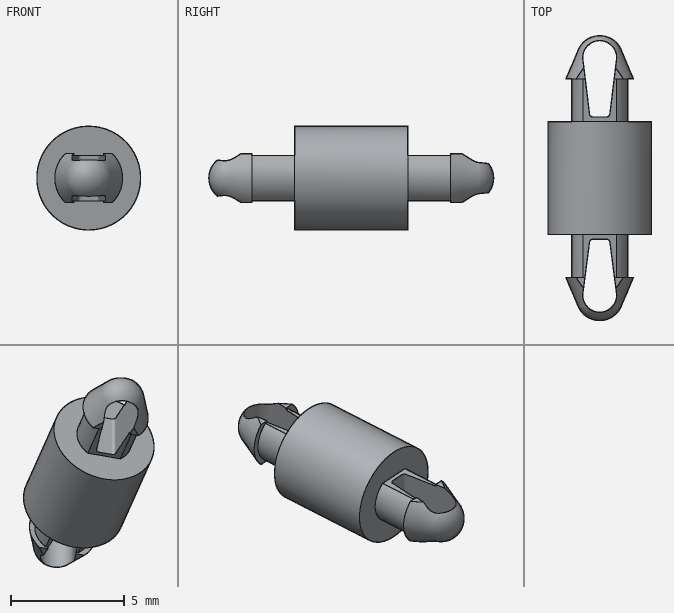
import cadquery as cq
import math

body_diameter = 4.6
overall_length = 12.6
body_length = 5.0
body_end = body_length / 2
tip = overall_length / 2

stem_diameter = 2.5
stem_height = 2.0

barb_radius = 1.5
barb_distance = 1.89
head_height = 2.17
dome_edge_radius = 0.93
dome_height = 0.58
stem_overlap = 0.13

slot_start_gap = 0.2
slot_start_half_width = 0.43
slot_corner_radius = 0.15
slot_round_radius = 0.74
rear_tip_wall = 0.23
front_tip_wall = 0.38


def flattened(solid, height):
    """Keep the part of a round solid between two flats parallel to XY."""
    return solid.intersect(cq.Workplane("XY").box(body_diameter, 2 * overall_length, height))


def make_stem():
    """Flattened round bar from inside the body into the head at +Y."""
    stem_end = body_end + barb_distance + stem_overlap
    stem = cq.Workplane("XZ").circle(stem_diameter / 2).extrude(-stem_end)
    return flattened(stem, stem_height)


def make_head():
    """Revolved barb with a spherical tip, flattened at top and bottom."""
    barb_y = body_end + barb_distance
    dome_edge_y = tip - dome_height
    dome_radius = (dome_edge_radius**2 + dome_height**2) / (2 * dome_height)
    half_angle = math.asin(dome_edge_radius / dome_radius) / 2
    dome_middle = (
        dome_radius * math.sin(half_angle),
        tip - dome_radius * (1 - math.cos(half_angle)),
    )
    head = (
        cq.Workplane("XY")
        .moveTo(0, barb_y)
        .lineTo(barb_radius, barb_y)
        .lineTo(dome_edge_radius, dome_edge_y)
        .threePointArc(dome_middle, (0, tip))
        .close()
        .revolve(360, (0, 0, 0), (0, 1, 0))
    )
    return flattened(head, head_height)


def make_slot(tip_wall):
    """Keyhole cutter whose straight sides run tangent into its round end."""
    start_y = body_end + slot_start_gap
    round_top = tip - tip_wall
    center_y = round_top - slot_round_radius

    corner_distance = math.hypot(slot_start_half_width, center_y - start_y)
    corner_angle = math.atan2(center_y - start_y, slot_start_half_width)
    tangent_angle = math.acos(slot_round_radius / corner_distance) - corner_angle
    tangent_x = slot_round_radius * math.cos(tangent_angle)
    tangent_y = center_y + slot_round_radius * math.sin(tangent_angle)

    return (
        cq.Workplane("XY")
        .moveTo(-slot_start_half_width, start_y)
        .lineTo(slot_start_half_width, start_y)
        .lineTo(tangent_x, tangent_y)
        .threePointArc((0, round_top), (-tangent_x, tangent_y))
        .close()
        .extrude(head_height, both=True)
        .edges("|Z and <Y")
        .fillet(slot_corner_radius)
    )


def make_snap(tip_wall):
    """Slotted stem and head pointing toward +Y."""
    return make_stem().union(make_head()).cut(make_slot(tip_wall))


body = cq.Workplane("XZ", origin=(0, body_end, 0)).circle(body_diameter / 2).extrude(body_length)
rear_snap = make_snap(rear_tip_wall)
front_snap = make_snap(front_tip_wall).rotate((0, 0, 0), (0, 0, 1), 180)
result = body.union(rear_snap).union(front_snap)